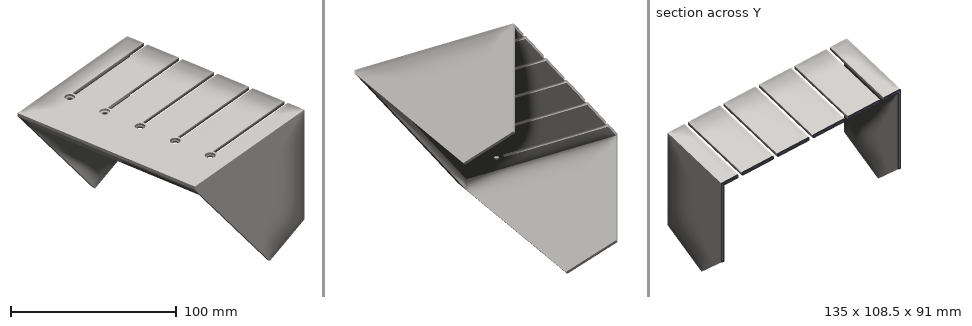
import cadquery as cq

width = 135.0
depth = 108.5
height = 91.0

side_thickness = 2.0
plate_thickness = 2.3
front_edge_height = 2.2

foot_y = 74.2
rear_edge_height = 78.6

wedge_height = 10.0
front_slope = foot_y / (height - front_edge_height)
wedge_rear_y = front_slope * (wedge_height - front_edge_height)

station_count = 5
station_pitch = 26.7
slot_width = 2.7
slot_length = 70.6
hole_y = 33.5
hole_diameter = 3.4
counterbore_diameter = 6.5
counterbore_depth = 1.4


def side_panel(start_x):
    """Panel with a sloping front and an angled foot, starting at start_x."""
    return (
        cq.Workplane("YZ", origin=(start_x, 0, 0))
        .moveTo(0, 0)
        .lineTo(depth, 0)
        .lineTo(depth, -rear_edge_height)
        .lineTo(foot_y, -height)
        .lineTo(0, -front_edge_height)
        .close()
        .extrude(side_thickness)
    )


def top_plate():
    """Flat top with a wedge along the front that follows the side slope."""
    return (
        cq.Workplane("YZ", origin=(-width / 2, 0, 0))
        .moveTo(0, 0)
        .lineTo(depth, 0)
        .lineTo(depth, -plate_thickness)
        .lineTo(wedge_rear_y, -plate_thickness)
        .lineTo(wedge_rear_y, -wedge_height)
        .lineTo(0, -front_edge_height)
        .close()
        .extrude(width)
    )


def cut_slots(body, stations):
    """Cut slots through the plate, open at the rear edge."""
    slot_centres = [(x, depth - slot_length / 2) for x in stations]
    cutter = (
        cq.Workplane("XY")
        .pushPoints(slot_centres)
        .rect(slot_width, slot_length)
        .extrude(-plate_thickness)
    )
    return body.cut(cutter)


def cut_screw_holes(body, stations):
    """Cut counterbored holes through the plate, just ahead of the slots."""
    hole_centres = [(x, hole_y) for x in stations]
    return (
        body.faces(">Z")
        .workplane(origin=(0, 0, 0))
        .pushPoints(hole_centres)
        .cboreHole(hole_diameter, counterbore_diameter, counterbore_depth, plate_thickness)
    )


middle_station = (station_count - 1) / 2
station_xs = [(i - middle_station) * station_pitch for i in range(station_count)]

shell = top_plate()
for panel_x in (-width / 2, width / 2 - side_thickness):
    shell = shell.union(side_panel(panel_x))

result = cut_screw_holes(cut_slots(shell, station_xs), station_xs)